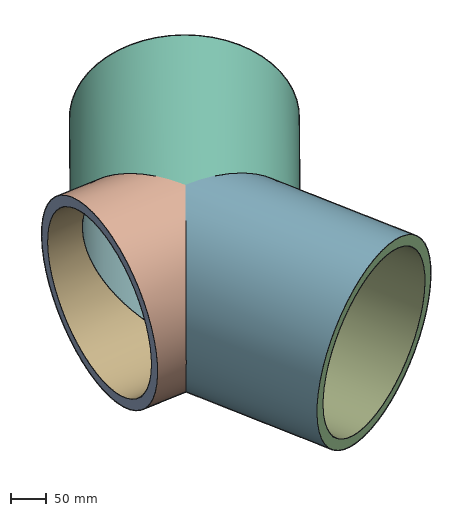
import cadquery as cq
import math

overall_width = 690.0
overall_depth = 432.5
outer_diameter = 323.5
bore_diameter = 289.0
bore_overrun = 14.0
branch_angle = 30.0

outer_radius = outer_diameter / 2
slope = math.radians(branch_angle)

branch_length = (overall_width / 2 - outer_radius * math.sin(slope)) / math.cos(slope)
branch_reach = branch_length * math.sin(slope) + outer_radius * math.cos(slope)
inlet_length = overall_depth - branch_reach

pipes = [
    (branch_angle, branch_length),
    (180 - branch_angle, branch_length),
    (270, inlet_length),
]


def pipe_rod(diameter, angle, length):
    """Solid cylinder running outwards from the junction."""
    direction = (math.cos(math.radians(angle)), math.sin(math.radians(angle)), 0)
    axis_plane = cq.Plane(origin=(0, 0, 0), xDir=(0, 0, 1), normal=direction)
    return cq.Workplane(axis_plane).circle(diameter / 2).extrude(length)


result = cq.Workplane("XY")
for angle, length in pipes:
    result = result.union(pipe_rod(outer_diameter, angle, length))
for angle, length in pipes:
    result = result.cut(pipe_rod(bore_diameter, angle, length + bore_overrun))